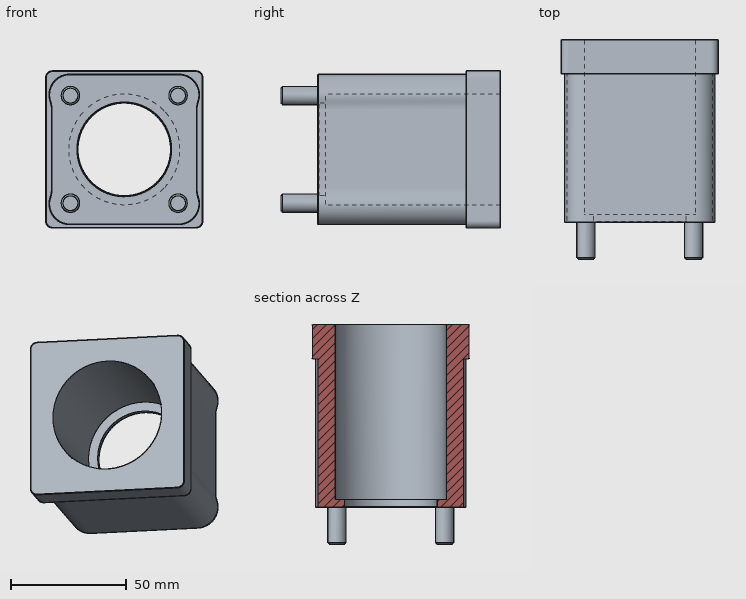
import cadquery as cq
import math

FLANGE_SIZE = 68.0
FLANGE_THICKNESS = 15.0
FLANGE_CORNER_RADIUS = 3.0

BODY_LENGTH = 64.1
BODY_SIZE = 65.1
LOBE_RADIUS = 9.0
SIDE_RECESS = 1.05
BLEND_RADIUS = 10.0

PIN_DIAMETER = 8.0
PIN_LENGTH = 15.9
PIN_CHAMFER = 0.8
PIN_PITCH = 46.5

MOUTH_DIAMETER = 40.0
MOUTH_DEPTH = 3.5
MOUTH_CHAMFER = 0.5
BORE_DIAMETER = 48.0

EDGE_CHAMFER = 0.3

FLANGE_FRONT = -FLANGE_THICKNESS
BODY_FRONT = FLANGE_FRONT - BODY_LENGTH


def section_plane(y):
    """Workplane at the given Y with local axes X and Z; negative extrusions run toward +Y."""
    return cq.Workplane("XZ", origin=(0, y, 0))


def cylinder(diameter, y, length):
    """Cylinder on the part axis that starts at y and runs toward +Y."""
    return section_plane(y).circle(diameter / 2).extrude(-length)


def polar(center, radius, angle):
    """Point at an angle in radians around a centre."""
    return (center[0] + radius * math.cos(angle), center[1] + radius * math.sin(angle))


def make_flange():
    plate = section_plane(FLANGE_FRONT).rect(FLANGE_SIZE, FLANGE_SIZE).extrude(-FLANGE_THICKNESS)
    plate = plate.edges("|Y").fillet(FLANGE_CORNER_RADIUS)
    return plate.faces("<Y or >Y").edges().chamfer(EDGE_CHAMFER)


def make_body():
    half = BODY_SIZE / 2
    side_x = half - SIDE_RECESS
    lobe = (half - LOBE_RADIUS, half - LOBE_RADIUS)

    blend_x = side_x + BLEND_RADIUS
    tilt = math.acos((blend_x - lobe[0]) / (LOBE_RADIUS + BLEND_RADIUS))
    blend = (blend_x, lobe[1] - (LOBE_RADIUS + BLEND_RADIUS) * math.sin(tilt))

    blend_start = (side_x, blend[1])
    blend_middle = polar(blend, BLEND_RADIUS, math.pi - tilt / 2)
    lobe_start = polar(lobe, LOBE_RADIUS, -tilt)
    lobe_middle = polar(lobe, LOBE_RADIUS, math.pi / 4)
    lobe_end = (lobe[0], half)

    quarter = (
        section_plane(BODY_FRONT)
        .lineTo(side_x, 0)
        .lineTo(*blend_start)
        .threePointArc(blend_middle, lobe_start)
        .threePointArc(lobe_middle, lobe_end)
        .lineTo(0, half)
        .close()
        .extrude(-BODY_LENGTH)
    )
    right_half = quarter.union(quarter.mirror("XY"))
    body = right_half.union(right_half.mirror("YZ")).clean()
    return body.faces("<Y").edges().chamfer(EDGE_CHAMFER)


def make_pins():
    pins = (
        section_plane(BODY_FRONT)
        .rect(PIN_PITCH, PIN_PITCH, forConstruction=True)
        .vertices()
        .circle(PIN_DIAMETER / 2)
        .extrude(PIN_LENGTH)
    )
    return pins.faces("<Y").edges().chamfer(PIN_CHAMFER)


def make_bore():
    mouth = cylinder(MOUTH_DIAMETER, BODY_FRONT, MOUTH_DEPTH)
    countersink = (
        section_plane(BODY_FRONT)
        .circle(MOUTH_DIAMETER / 2 + MOUTH_CHAMFER)
        .workplane(offset=-MOUTH_CHAMFER)
        .circle(MOUTH_DIAMETER / 2)
        .loft()
    )
    bore_start = BODY_FRONT + MOUTH_DEPTH
    bore = cylinder(BORE_DIAMETER, bore_start, -bore_start)
    return mouth.union(countersink).union(bore)


result = make_body().union(make_flange()).union(make_pins()).cut(make_bore())